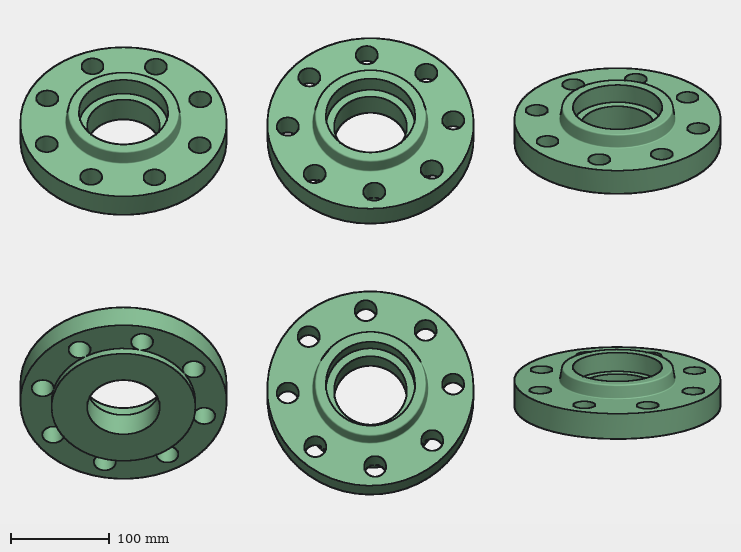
import cadquery as cq

plate_diameter = 209.5
plate_thickness = 27.2

face_diameter = 146.0
face_height = 8.0

hub_base_diameter = 117.3
hub_top_diameter = 112.3
hub_height = 14.2
hub_top_round = 1.7
hub_root_fillet = 1.3

socket_diameter = 90.5
socket_depth = 20.1
bore_diameter = 73.7

bolt_count = 8
bolt_circle_diameter = 168.0
bolt_hole_diameter = 22.2

plate_bottom = face_height
plate_top = plate_bottom + plate_thickness
hub_top = plate_top + hub_height


def make_body():
    """Revolve the raised face, plate and tapered hub, then blend the hub edges."""
    profile = (
        cq.Workplane("XZ")
        .moveTo(0, 0)
        .lineTo(face_diameter / 2, 0)
        .lineTo(face_diameter / 2, plate_bottom)
        .lineTo(plate_diameter / 2, plate_bottom)
        .lineTo(plate_diameter / 2, plate_top)
        .lineTo(hub_base_diameter / 2, plate_top)
        .lineTo(hub_top_diameter / 2, hub_top)
        .lineTo(0, hub_top)
        .close()
    )
    body = profile.revolve(360, (0, 0, 0), (0, 1, 0))
    body = body.faces(">Z").edges().fillet(hub_top_round)
    outer_rim = (plate_diameter / 2, 0, plate_top)
    annulus = body.faces(cq.selectors.NearestToPointSelector(outer_rim))
    hub_root = cq.selectors.RadiusNthSelector(0)
    return annulus.edges(hub_root).fillet(hub_root_fillet)


def cut_bore(body):
    """Cut the through bore and the wider socket that stops on a shoulder."""
    bore = cq.Workplane("XY").circle(bore_diameter / 2).extrude(hub_top)
    socket = (
        cq.Workplane("XY", origin=(0, 0, hub_top - socket_depth))
        .circle(socket_diameter / 2)
        .extrude(socket_depth)
    )
    return body.cut(bore).cut(socket)


def cut_bolt_holes(body):
    """Cut the bolt holes, which just nick the rim of the raised face."""
    holes = (
        cq.Workplane("XY")
        .polarArray(bolt_circle_diameter / 2, 0, 360, bolt_count)
        .circle(bolt_hole_diameter / 2)
        .extrude(plate_top)
    )
    return body.cut(holes)


result = cut_bolt_holes(cut_bore(make_body()))